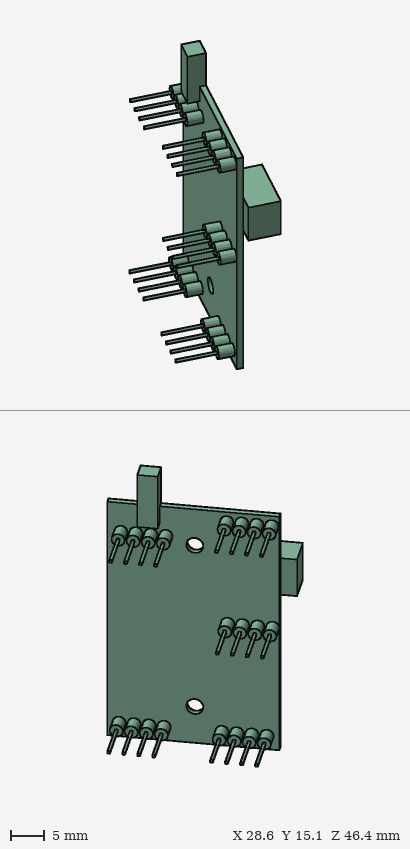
import cadquery as cq

TOTAL_HEIGHT = 46.35

BOARD_WIDTH = 26.05
BOARD_THICKNESS = 1.0
BOARD_HEIGHT = 40.2

HOLE_DIAMETER = 2.55
HOLE_X = 13.25
HOLE_HEIGHTS = (6.25, 34.0)

ANTENNA_LEFT = 4.85
ANTENNA_WIDTH = 3.1
ANTENNA_DEPTH = 2.9
ANTENNA_LENGTH = 8.95

CONNECTOR_LENGTH = 9.23
CONNECTOR_DEPTH = 5.1
CONNECTOR_HEIGHT = 6.3
CONNECTOR_BOTTOM = 26.2
CONNECTOR_OVERHANG = 2.5

PINS_PER_ROW = 4
PIN_PITCH = 2.25
SLEEVE_DIAMETER = 2.0
SLEEVE_LENGTH = 2.5
PIN_DIAMETER = 0.5
PIN_LENGTH = 6.5

BOTTOM_ROW_Z = 2.35
MIDDLE_ROW_X = BOARD_WIDTH - SLEEVE_DIAMETER / 2 - (PINS_PER_ROW - 1) * PIN_PITCH
ROW_STARTS = (
    (1.8, BOTTOM_ROW_Z),
    (17.4, BOTTOM_ROW_Z),
    (MIDDLE_ROW_X, 21.05),
    (2.1, 35.25),
    (18.13, 38.53),
)


def box_at(corner, size):
    """Box spanning `size` from its lowest X, Y and Z corner."""
    return cq.Workplane("XY").box(*size, centered=False).translate(corner)


def rods(points, diameter, length):
    """Round rods at (X, Z) points, running forward (-Y) from inside the board."""
    rod_length = BOARD_THICKNESS / 2 + length
    start = cq.Workplane("XZ", origin=(0, BOARD_THICKNESS / 2, 0))
    return start.pushPoints(points).circle(diameter / 2).extrude(rod_length)


def board():
    plate = box_at((0, 0, 0), (BOARD_WIDTH, BOARD_THICKNESS, BOARD_HEIGHT))
    hole_points = [(HOLE_X, z) for z in HOLE_HEIGHTS]
    holes = (
        cq.Workplane("XZ", origin=(0, BOARD_THICKNESS, 0))
        .pushPoints(hole_points)
        .circle(HOLE_DIAMETER / 2)
        .extrude(BOARD_THICKNESS)
    )
    return plate.cut(holes)


def antenna():
    corner = (ANTENNA_LEFT, BOARD_THICKNESS - ANTENNA_DEPTH, TOTAL_HEIGHT - ANTENNA_LENGTH)
    return box_at(corner, (ANTENNA_WIDTH, ANTENNA_DEPTH, ANTENNA_LENGTH))


def connector():
    left = BOARD_WIDTH + CONNECTOR_OVERHANG - CONNECTOR_LENGTH
    corner = (left, BOARD_THICKNESS, CONNECTOR_BOTTOM)
    return box_at(corner, (CONNECTOR_LENGTH, CONNECTOR_DEPTH, CONNECTOR_HEIGHT))


def header_row(first_x, z):
    points = [(first_x + i * PIN_PITCH, z) for i in range(PINS_PER_ROW)]
    sleeves = rods(points, SLEEVE_DIAMETER, SLEEVE_LENGTH)
    pins = rods(points, PIN_DIAMETER, SLEEVE_LENGTH + PIN_LENGTH)
    return sleeves.union(pins)


result = board().union(antenna()).union(connector())
for row_x, row_z in ROW_STARTS:
    result = result.union(header_row(row_x, row_z))